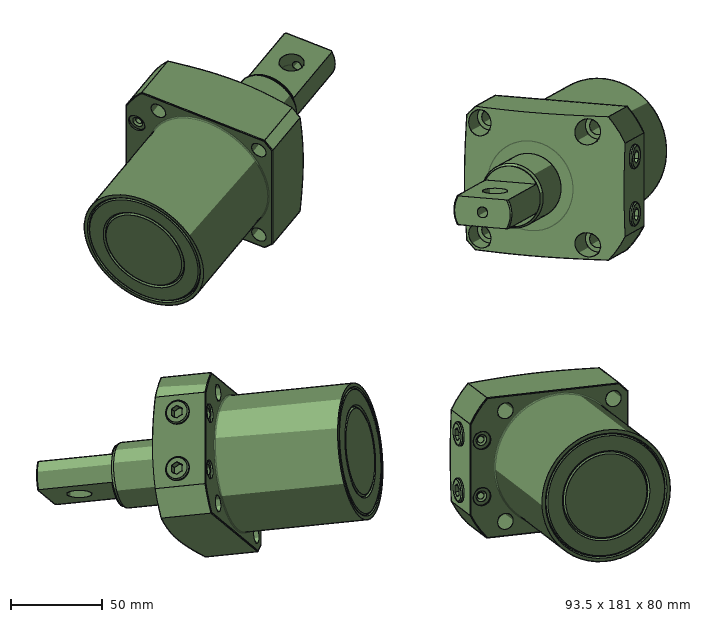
import cadquery as cq
import math


overall_x = 93.5
overall_y = 181.0

flange_width = 80.0
flange_half = flange_width / 2
flange_left = 52.0
flange_thickness = 38.0
flange_turned_radius = 58.1
corner_chamfer = 5.0
flange_edge_chamfer = 0.45
nose_flat_radius = 25.0
nose_angle = 15.0
bolt_hole_diameter = 9.0
counterbore_diameter = 14.0
counterbore_floor = 18.1
bolt_offset = 31.5

barrel_diameter = 75.0
barrel_length = 71.0
root_fillet = 0.5

cap_diameter = 69.5
cap_thickness = 10.9
seam_chamfer = 0.7
cap_groove_radius = 24.6
cap_groove_half_width = 0.9

rod_diameter = 36.0
rod_stickout = 28.6
rod_insertion = 27.2
shoulder_chamfer_depth = 1.0
shoulder_chamfer_length = 1.6
shoulder_land = 0.5
tongue_diameter = rod_diameter - 2 * shoulder_chamfer_depth
tongue_thickness = 16.1
tongue_length = overall_y - barrel_length - flange_thickness - rod_stickout
tongue_tip_chamfer = 0.7
pin_hole_diameter = 13.5
pin_hole_from_tip = 19.0
tip_hole_diameter = 6.0

rod_shoulder_y = flange_thickness + rod_stickout
tip_y = rod_shoulder_y + tongue_length

port_x = -45.0
port_z = 16.02
port_recess_diameter = 10.1
port_recess_depth = 1.0
port_mouth_diameter = 6.2
port_drill_diameter = 3.8
port_cone_depth = 1.0
plug_y = 16.1
plug_head_diameter = 13.4
plug_head_height = overall_x - flange_half - flange_left
plug_head_chamfer = 0.7
plug_shank_diameter = 9.8
plug_shank_length = 4.3
socket_across_flats = 6.2
socket_depth = 4.7
passage_diameter = 4.9
passage_end_x = port_x + passage_diameter / 2


def cylinder_y(diameter, start_y, end_y, x=0, z=0):
    """Cylinder along +Y between two Y positions."""
    return cq.Workplane("XY").add(
        cq.Solid.makeCylinder(diameter / 2, end_y - start_y, cq.Vector(x, start_y, z), cq.Vector(0, 1, 0))
    )


def cylinder_x(diameter, start_x, end_x, y, z):
    """Cylinder along +X between two X positions."""
    return cq.Workplane("XY").add(
        cq.Solid.makeCylinder(diameter / 2, end_x - start_x, cq.Vector(start_x, y, z), cq.Vector(1, 0, 0))
    )


def revolve_about_y(points):
    """Solid of revolution about Y from (radius, y) points."""
    return cq.Workplane("XY").polyline(points).close().revolve(360, (0, 0, 0), (0, 1, 0))


def make_flange():
    block = (
        cq.Workplane("XY")
        .box(flange_left + flange_half, flange_thickness, flange_width, centered=False)
        .translate((-flange_left, 0, -flange_half))
        .edges("|Y and >X")
        .chamfer(corner_chamfer)
    )
    nose_drop = (flange_turned_radius - nose_flat_radius) * math.tan(math.radians(nose_angle))
    turned = revolve_about_y([
        (0, 0),
        (flange_turned_radius, 0),
        (flange_turned_radius, flange_thickness - nose_drop),
        (nose_flat_radius, flange_thickness),
        (0, flange_thickness),
    ])
    flange = block.intersect(turned).faces("<Y").chamfer(flange_edge_chamfer)
    for x in (-bolt_offset, bolt_offset):
        for z in (-bolt_offset, bolt_offset):
            flange = flange.cut(cylinder_y(bolt_hole_diameter, 0, flange_thickness, x, z))
            flange = flange.cut(cylinder_y(counterbore_diameter, counterbore_floor, flange_thickness, x, z))
    return flange


def make_barrel():
    """Barrel with a concave fillet at its root on the mounting face."""
    radius = barrel_diameter / 2
    fillet_sag = root_fillet * (1 - math.sqrt(0.5))
    return (
        cq.Workplane("XY")
        .moveTo(0, -barrel_length)
        .lineTo(radius, -barrel_length)
        .lineTo(radius, -root_fillet)
        .threePointArc((radius + fillet_sag, -fillet_sag), (radius + root_fillet, 0))
        .lineTo(0, 0)
        .close()
        .revolve(360, (0, 0, 0), (0, 1, 0))
    )


def make_port(z):
    """Stepped oil port in the mounting face, drilled into the side passage."""
    cone_end = port_recess_depth + port_cone_depth
    profile = [
        (0, 0),
        (port_recess_diameter / 2, 0),
        (port_recess_diameter / 2, port_recess_depth),
        (port_mouth_diameter / 2, port_recess_depth),
        (port_drill_diameter / 2, cone_end),
        (port_drill_diameter / 2, plug_y),
        (0, plug_y),
    ]
    port = revolve_about_y(profile).translate((port_x, 0, z))
    passage = cylinder_x(passage_diameter, -flange_left, passage_end_x, plug_y, z)
    plug_seat = cylinder_x(plug_shank_diameter, -flange_left, plug_shank_length - flange_left, plug_y, z)
    return port.union(passage).union(plug_seat)


def make_cap_recess():
    """Recess for the end cap, with a chamfered mouth."""
    return revolve_about_y([
        (0, -barrel_length),
        (cap_diameter / 2 + seam_chamfer, -barrel_length),
        (cap_diameter / 2, seam_chamfer - barrel_length),
        (cap_diameter / 2, cap_thickness - barrel_length),
        (0, cap_thickness - barrel_length),
    ])


def make_housing():
    body = make_flange().union(make_barrel())
    body = body.cut(cylinder_y(rod_diameter, flange_thickness - rod_insertion, flange_thickness))
    body = body.cut(make_cap_recess())
    for z in (-port_z, port_z):
        body = body.cut(make_port(z))
    return body


def make_end_cap():
    cap = cylinder_y(cap_diameter, -barrel_length, cap_thickness - barrel_length)
    cap = cap.faces("<Y").edges().chamfer(seam_chamfer)
    groove = revolve_about_y([
        (cap_groove_radius - cap_groove_half_width, -barrel_length),
        (cap_groove_radius + cap_groove_half_width, -barrel_length),
        (cap_groove_radius, cap_groove_half_width - barrel_length),
    ])
    return cap.cut(groove)


def make_rod():
    land_end_y = rod_shoulder_y + shoulder_land
    shaft = revolve_about_y([
        (0, flange_thickness - rod_insertion),
        (rod_diameter / 2, flange_thickness - rod_insertion),
        (rod_diameter / 2, rod_shoulder_y - shoulder_chamfer_length),
        (tongue_diameter / 2, rod_shoulder_y),
        (tongue_diameter / 2, land_end_y),
        (0, land_end_y),
    ])
    tongue = cylinder_y(tongue_diameter, rod_shoulder_y, tip_y)
    tongue = tongue.faces(">Y").edges().chamfer(tongue_tip_chamfer)
    flats = (
        cq.Workplane("XY")
        .box(tongue_diameter, tongue_length, tongue_thickness)
        .translate((0, rod_shoulder_y + tongue_length / 2, 0))
    )
    rod = shaft.union(tongue.intersect(flats))
    pin_y = tip_y - pin_hole_from_tip
    pin_hole = cq.Workplane("XY").center(0, pin_y).circle(pin_hole_diameter / 2).extrude(tongue_thickness, both=True)
    tip_hole = cylinder_y(tip_hole_diameter, pin_y, tip_y)
    return rod.cut(pin_hole).cut(tip_hole)


def make_plug(z):
    """Hexagon socket plug screwed into the side of the flange."""
    head_x = -flange_left - plug_head_height
    head = cylinder_x(plug_head_diameter, head_x, -flange_left, plug_y, z)
    head = head.faces("<X").edges().chamfer(plug_head_chamfer)
    shank = cylinder_x(plug_shank_diameter, -flange_left, plug_shank_length - flange_left, plug_y, z)
    across_corners = socket_across_flats / math.cos(math.pi / 6)
    socket = (
        cq.Workplane("YZ", origin=(head_x, plug_y, z))
        .transformed(rotate=(0, 0, 90))
        .polygon(6, across_corners)
        .extrude(socket_depth)
    )
    return head.union(shank).cut(socket)


housing = make_housing()
end_cap = make_end_cap()
rod = make_rod()
plugs = [make_plug(z).val() for z in (-port_z, port_z)]

result = cq.Compound.makeCompound([housing.val(), end_cap.val(), rod.val(), *plugs])